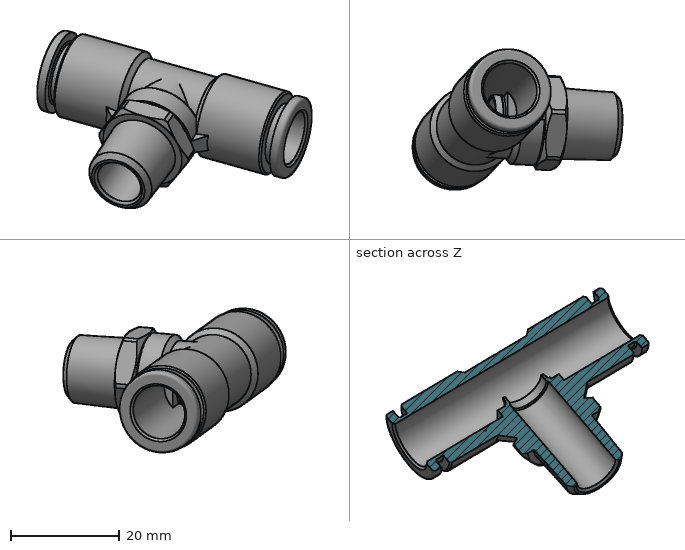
import cadquery as cq
import math

run_half_length = 24.6
body_radius = 16.0 / 2
neck_radius = 7.0
step_chamfer = body_radius - neck_radius
socket_inner_x = 8.0
socket_outer_x = 21.0
socket_rim_chamfer = 0.35
bore_radius = 10.15 / 2

flange_radius = 15.5 / 2
flange_thickness = 1.8
flange_fillet = 0.6
collar_neck_radius = 11.6 / 2
collar_root_chamfer = 0.3
mouth_chamfer = 0.45

branch_length = 25.55
branch_end = 10.2
branch_step = 6.05
undercut_radius = 7.65
hex_start = 10.5
hex_end = 14.5
thread_end = 24.5
thread_root_radius = 6.65
thread_tip_radius = 6.35
tip_radius = 10.75 / 2

hex_across_flats = 2 * body_radius
hex_corner_radius = 9.0
hex_bevel_angle = math.radians(30)

gusset_slope_end = 6.9
gusset_thin_half = 1.45
gusset_thick_half = 1.7
gusset_thin_x = body_radius
gusset_thick_x = 10.15

seat_depth = 3.4
seat_half_length = neck_radius
stem_ring_depth = 3.0
stem_top_depth = 1.7
stem_ring_radius = 10.45 / 2
stem_base_radius = 4.85
stem_top_radius = 4.6
stem_bore_radius = 8.2 / 2
branch_bore_radius = 8.75 / 2
branch_mouth_chamfer = 0.5


def branch_cylinder(radius, near, far):
    """Cylinder on the branch axis between two distances from the run axis."""
    return cq.Workplane("XZ", origin=(0, -near, 0)).circle(radius).extrude(far - near)


def turned_on_branch(points):
    """Solid of (radius, distance) points turned about the branch axis."""
    profile = cq.Workplane("XY").polyline([(r, -d) for r, d in points]).close()
    return profile.revolve(360, (0, 0, 0), (0, 1, 0))


def run_cylinder(radius, start, end):
    """Cylinder on the run axis between two X positions."""
    return cq.Workplane("YZ", origin=(start, 0, 0)).circle(radius).extrude(end - start)


def turned_on_run(points):
    """Solid of (radius, X position) points turned about the run axis."""
    profile = cq.Workplane("XY").polyline([(x, r) for r, x in points]).close()
    return profile.revolve(360, (0, 0, 0), (1, 0, 0))


def socket():
    """Socket and release collar on the +X side, without the bore."""
    shell = turned_on_run([
        (0, socket_inner_x - step_chamfer),
        (neck_radius, socket_inner_x - step_chamfer),
        (body_radius, socket_inner_x),
        (body_radius, socket_outer_x - socket_rim_chamfer),
        (body_radius - socket_rim_chamfer, socket_outer_x),
        (0, socket_outer_x),
    ])
    flange_inner_x = run_half_length - flange_thickness
    collar_neck = turned_on_run([
        (0, socket_outer_x),
        (collar_neck_radius, socket_outer_x),
        (collar_neck_radius, flange_inner_x - collar_root_chamfer),
        (collar_neck_radius + collar_root_chamfer, flange_inner_x),
        (0, flange_inner_x),
    ])
    flange = run_cylinder(flange_radius, flange_inner_x, run_half_length)
    flange = flange.faces(">X").edges().fillet(flange_fillet)
    return shell.union(collar_neck).union(flange)


def branch_body():
    """Branch stub that mitres into the run neck."""
    return turned_on_branch([
        (0, 0),
        (neck_radius, 0),
        (neck_radius, branch_step - step_chamfer),
        (body_radius, branch_step),
        (body_radius, branch_end),
        (undercut_radius, branch_end),
        (undercut_radius, hex_start),
        (0, hex_start),
    ])


def hexagon():
    """Spanner hexagon with a flat facing +Z, bevelled at both ends."""
    across_corners = hex_across_flats / math.cos(math.pi / 6)
    prism = (
        cq.Workplane("XZ", origin=(0, -hex_start, 0))
        .polygon(6, across_corners)
        .extrude(hex_end - hex_start)
    )
    inner_bevel = (hex_corner_radius - undercut_radius) * math.tan(hex_bevel_angle)
    outer_bevel = (hex_corner_radius - body_radius) * math.tan(hex_bevel_angle)
    envelope = turned_on_branch([
        (0, hex_start),
        (undercut_radius, hex_start),
        (hex_corner_radius, hex_start + inner_bevel),
        (hex_corner_radius, hex_end - outer_bevel),
        (body_radius, hex_end),
        (0, hex_end),
    ])
    return prism.intersect(envelope)


def threaded_end():
    """Tapered thread blank with a chamfered tip."""
    return turned_on_branch([
        (0, hex_end),
        (thread_root_radius, hex_end),
        (thread_tip_radius, thread_end),
        (tip_radius, branch_length),
        (0, branch_length),
    ])


def gusset():
    """Triangular web on the +X side that thickens away from the branch."""
    slope_start_x = body_radius - (hex_start - branch_end)
    slope_end_x = slope_start_x + hex_start - gusset_slope_end
    triangle = (
        cq.Workplane("XY", origin=(0, 0, -body_radius))
        .moveTo(neck_radius, -hex_start)
        .lineTo(slope_start_x, -hex_start)
        .lineTo(slope_end_x, -gusset_slope_end)
        .lineTo(neck_radius, -gusset_slope_end)
        .close()
        .extrude(2 * body_radius)
    )
    flare = (gusset_thick_half - gusset_thin_half) / (gusset_thick_x - gusset_thin_x)
    near_half = gusset_thin_half + flare * (neck_radius - gusset_thin_x)
    far_half = gusset_thin_half + flare * (slope_end_x - gusset_thin_x)
    wedge = (
        cq.Workplane("XZ")
        .moveTo(neck_radius, -near_half)
        .lineTo(slope_end_x, -far_half)
        .lineTo(slope_end_x, far_half)
        .lineTo(neck_radius, near_half)
        .close()
        .extrude(branch_length)
    )
    return triangle.intersect(wedge)


def run_bore():
    """Through bore of the run, chamfered at both mouths."""
    mouth_radius = bore_radius + mouth_chamfer
    chamfer_start = run_half_length - mouth_chamfer
    return turned_on_run([
        (0, -run_half_length),
        (mouth_radius, -run_half_length),
        (bore_radius, -chamfer_start),
        (bore_radius, chamfer_start),
        (mouth_radius, run_half_length),
        (0, run_half_length),
    ])


def stem():
    """Flat seat in the run bore with the end of the branch stem on it."""
    seat = run_cylinder(bore_radius, -seat_half_length, seat_half_length)
    below_seat = cq.Workplane("XY").box(
        2 * seat_half_length, body_radius, 2 * body_radius
    ).translate((0, -seat_depth - body_radius / 2, 0))
    ring = branch_cylinder(stem_ring_radius, stem_ring_depth, branch_end)
    tube = turned_on_branch([
        (0, stem_top_depth),
        (stem_top_radius, stem_top_depth),
        (stem_base_radius, stem_ring_depth),
        (0, stem_ring_depth),
    ])
    return seat.intersect(below_seat).union(ring).union(tube)


def branch_bore():
    """Stepped branch bore with a chamfered mouth."""
    return turned_on_branch([
        (0, 0),
        (stem_bore_radius, 0),
        (stem_bore_radius, seat_depth),
        (branch_bore_radius, seat_depth + branch_bore_radius - stem_bore_radius),
        (branch_bore_radius, branch_length - branch_mouth_chamfer),
        (branch_bore_radius + branch_mouth_chamfer, branch_length),
        (0, branch_length),
    ])


right_half = socket().union(gusset())
result = (
    run_cylinder(neck_radius, -socket_inner_x, socket_inner_x)
    .union(branch_body())
    .union(right_half)
    .union(right_half.mirror("YZ"))
    .union(hexagon())
    .union(threaded_end())
    .cut(run_bore())
    .union(stem())
    .cut(branch_bore())
)